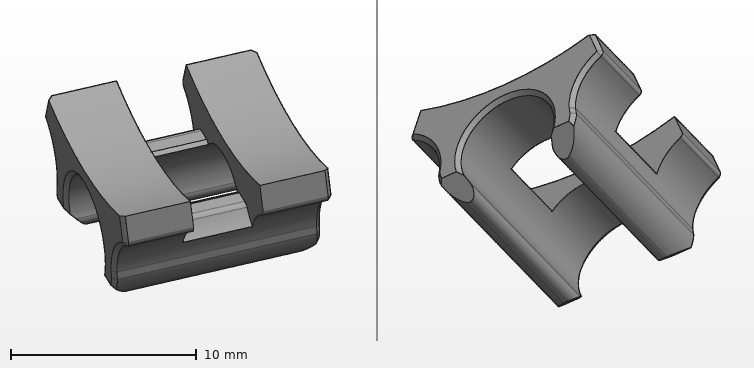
import cadquery as cq
import math

LENGTH = 11.99
OVERALL_WIDTH = 12.36
EDGE_CHAMFER = 0.25

BORE_RADIUS = 3.0
TIP_RADIUS = 0.5
TIP_X = 3.11
TIP_Z = -math.sqrt((BORE_RADIUS + TIP_RADIUS) ** 2 - TIP_X**2)
BOTTOM_Z = TIP_Z - TIP_RADIUS

JAW_RADIUS = 2.0
JAW_X = 2.45
JAW_Z = TIP_Z + math.sqrt((JAW_RADIUS - TIP_RADIUS) ** 2 - (TIP_X - JAW_X) ** 2)
WAIST_X = 4.39
WAIST_Z = 0.21
FLANK_MID = (4.75, 1.84)

SADDLE_RADIUS = 17.5
SADDLE_BOTTOM = 4.0
SADDLE_HALF_WIDTH = 5.67
SADDLE_CENTER_Z = SADDLE_BOTTOM + SADDLE_RADIUS
SADDLE_EDGE_Z = SADDLE_CENTER_Z - math.sqrt(SADDLE_RADIUS**2 - SADDLE_HALF_WIDTH**2)
END_SLOPE = (SADDLE_CENTER_Z - SADDLE_EDGE_Z) / SADDLE_HALF_WIDTH
CORNER_X = 6.24
CORNER_Z = SADDLE_EDGE_Z - (CORNER_X - SADDLE_HALF_WIDTH) * END_SLOPE
CORNER_RADIUS = 0.27

ARM_END_CHAMFER = 1.27

SLOT_WIDTH = 4.0
SLOT_FLOOR_Z = 2.16
LEDGE_OUTER = (4.51, 1.31)
LEDGE_MID = (4.07, 1.65)
LEDGE_TOP = (3.68, 2.03)
ROUND_MID = (3.52, 2.13)
FLOOR_OUTER_X = 3.32
FLOOR_INNER_X = 2.51
BORE_EDGE_X = 2.22
BORE_EDGE_Z = math.sqrt(BORE_RADIUS**2 - BORE_EDGE_X**2)
CLEARANCE = 2.47


def circle_point(center, radius, angle):
    """Point on an XZ circle at an angle in radians."""
    return (center[0] + radius * math.cos(angle), center[1] + radius * math.sin(angle))


def half_body():
    """The +X half of the clip, before the slot and the sloped arm ends are cut."""
    tip = (TIP_X, TIP_Z)
    jaw = (JAW_X, JAW_Z)
    bore_angle = math.atan2(TIP_Z, TIP_X)
    jaw_angle = math.atan2(TIP_Z - JAW_Z, TIP_X - JAW_X)
    tip_middle_angle = (bore_angle - math.pi + jaw_angle) / 2
    bore_end = circle_point((0, 0), BORE_RADIUS, bore_angle)
    bore_middle = circle_point((0, 0), BORE_RADIUS, (math.pi / 2 + bore_angle) / 2)
    saddle_half_angle = math.asin(SADDLE_HALF_WIDTH / SADDLE_RADIUS)
    saddle_middle = circle_point(
        (0, SADDLE_CENTER_Z), SADDLE_RADIUS, (saddle_half_angle - math.pi) / 2
    )
    body = (
        cq.Workplane("XZ")
        .moveTo(0, BORE_RADIUS)
        .threePointArc(bore_middle, bore_end)
        .threePointArc(
            circle_point(tip, TIP_RADIUS, tip_middle_angle),
            circle_point(tip, TIP_RADIUS, jaw_angle),
        )
        .threePointArc(
            circle_point(jaw, JAW_RADIUS, jaw_angle / 2),
            circle_point(jaw, JAW_RADIUS, 0),
        )
        .lineTo(WAIST_X, WAIST_Z)
        .threePointArc(FLANK_MID, (CORNER_X, CORNER_Z))
        .lineTo(SADDLE_HALF_WIDTH, SADDLE_EDGE_Z)
        .threePointArc(saddle_middle, (0, SADDLE_BOTTOM))
        .close()
        .extrude(LENGTH / 2, both=True)
    )
    corner = cq.selectors.NearestToPointSelector((CORNER_X, 0, CORNER_Z))
    return body.edges("|Y").edges(corner).fillet(CORNER_RADIUS)


def chamfer_ends(body):
    """Chamfer both end outlines from the saddle edge around the arm and along the bore."""
    outer_side = cq.selectors.BoxSelector(
        (TIP_X + TIP_RADIUS, -LENGTH, BOTTOM_Z), (CORNER_X, LENGTH, SADDLE_EDGE_Z)
    )
    end_edges = body.faces("<Y or >Y").edges()
    return end_edges.edges(outer_side).chamfer(EDGE_CHAMFER)


def arm_end_cutter(side):
    """Wedge under the arms at one Y end."""
    end = side * LENGTH / 2
    return (
        cq.Workplane("YZ")
        .polyline([
            (end, BOTTOM_Z),
            (end - side * ARM_END_CHAMFER, BOTTOM_Z),
            (end, BOTTOM_Z + ARM_END_CHAMFER),
        ])
        .close()
        .extrude(OVERALL_WIDTH / 2, both=True)
    )


def half_slot():
    """The +X half of the slot through the saddle, open at the top and side."""
    slot_top = SADDLE_EDGE_Z + CLEARANCE
    slot_side = OVERALL_WIDTH / 2 + CLEARANCE
    return (
        cq.Workplane("XZ")
        .moveTo(0, BORE_EDGE_Z)
        .lineTo(BORE_EDGE_X, BORE_EDGE_Z)
        .lineTo(FLOOR_INNER_X, SLOT_FLOOR_Z)
        .lineTo(FLOOR_OUTER_X, SLOT_FLOOR_Z)
        .threePointArc(ROUND_MID, LEDGE_TOP)
        .threePointArc(LEDGE_MID, LEDGE_OUTER)
        .lineTo(slot_side, LEDGE_OUTER[1])
        .lineTo(slot_side, slot_top)
        .lineTo(0, slot_top)
        .close()
        .extrude(SLOT_WIDTH / 2, both=True)
    )


half = chamfer_ends(half_body()).cut(half_slot())
for side in (-1, 1):
    half = half.cut(arm_end_cutter(side))
result = half.union(half.mirror("YZ"))